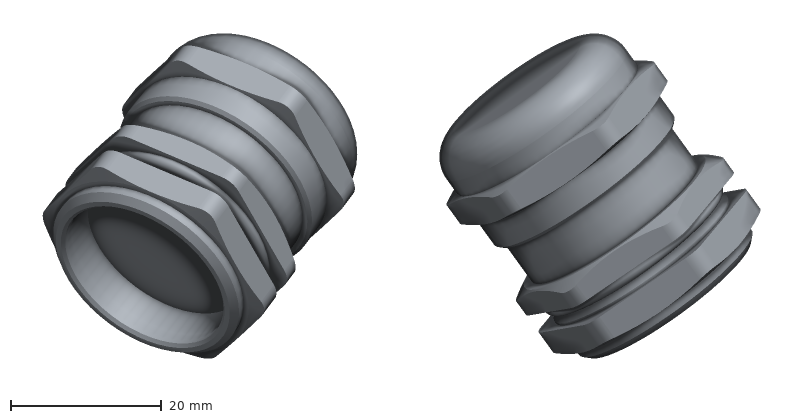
import cadquery as cq
import math


thread_diameter = 28.3
thread_chamfer = 0.9
thread_end = 7.5
bore_diameter = 24.1
bore_depth = 6.5
bore_chamfer = 0.42

ring_diameter = 28.9
ring_rim_radius = 1.0
ring_start = thread_end
ring_end = 9.07

body_diameter = 27.0
cap_diameter = 29.4
cap_start = 19.25
cap_end = 35.15
cap_chamfer = 0.45
dome_radius = 4.4

across_flats = 30.0
corner_radius = 3.0
nut_start = 2.15
nut_end = 6.22
body_hex_end = 12.62
cap_hex_start = 23.63
cap_hex_end = 28.2
nut_bevel_diameter = 29.9
body_bevel_diameter = 29.5
shallow_bevel = 20.0
nut_bevel = 21.5
steep_bevel = 30.0


def cylinder(diameter, start, end):
    """Round bar along Y from start to end."""
    return cq.Workplane("XZ", origin=(0, start, 0)).circle(diameter / 2).extrude(start - end)


def bevel_envelope(start, end, bevel_diameter, front_angle, back_angle):
    """Solid of revolution whose conical ends cut the hexagon corners; angle 0 leaves an end flat."""
    face_radius = bevel_diameter / 2
    outer_radius = across_flats / math.sqrt(3)
    reach = outer_radius - face_radius
    front_drop = reach * math.tan(math.radians(front_angle))
    back_drop = reach * math.tan(math.radians(back_angle))
    return (
        cq.Workplane("XY")
        .moveTo(0, start)
        .lineTo(face_radius, start)
        .lineTo(outer_radius, start + front_drop)
        .lineTo(outer_radius, end - back_drop)
        .lineTo(face_radius, end)
        .lineTo(0, end)
        .close()
        .revolve(360, (0, 0, 0), (0, 1, 0))
    )


def hexagon(start, end, bevel_diameter, front_angle=0.0, back_angle=0.0):
    """Hexagon with rounded corners on the X axis and bevelled end faces."""
    prism = (
        cq.Workplane("XZ", origin=(0, start, 0))
        .transformed(rotate=(0, 0, 30))
        .polygon(6, across_flats, circumscribed=True)
        .extrude(start - end)
        .edges("|Y")
        .fillet(corner_radius)
    )
    return prism.intersect(bevel_envelope(start, end, bevel_diameter, front_angle, back_angle))


def threaded_entry():
    return cylinder(thread_diameter, 0, thread_end).faces("<Y or >Y").chamfer(thread_chamfer)


def sealing_ring():
    """Disc with a rounded rim, flattened where it is pressed against the body hexagon."""
    outer_radius = ring_diameter / 2
    arc_center = outer_radius - ring_rim_radius
    crest = ring_start + ring_rim_radius
    contact_radius = arc_center + math.sqrt(ring_rim_radius**2 - (ring_end - crest) ** 2)
    return (
        cq.Workplane("XY")
        .moveTo(0, ring_start)
        .lineTo(arc_center, ring_start)
        .threePointArc((outer_radius, crest), (contact_radius, ring_end))
        .lineTo(0, ring_end)
        .close()
        .revolve(360, (0, 0, 0), (0, 1, 0))
    )


def domed_cap():
    cap = cylinder(cap_diameter, cap_start, cap_end)
    return cap.faces("<Y").chamfer(cap_chamfer).faces(">Y").edges().fillet(dome_radius)


def entry_bore():
    """Blind bore with a countersunk mouth."""
    mouth_radius = bore_diameter / 2 + bore_chamfer
    countersink = cq.Solid.makeCone(
        mouth_radius, bore_diameter / 2, bore_chamfer, cq.Vector(0, 0, 0), cq.Vector(0, 1, 0)
    )
    return cylinder(bore_diameter, 0, bore_depth).union(cq.Workplane(countersink))


result = (
    threaded_entry()
    .union(hexagon(nut_start, nut_end, nut_bevel_diameter, front_angle=nut_bevel))
    .union(sealing_ring())
    .union(hexagon(ring_end, body_hex_end, body_bevel_diameter, back_angle=steep_bevel))
    .union(cylinder(body_diameter, body_hex_end, cap_start))
    .union(domed_cap())
    .union(hexagon(cap_hex_start, cap_hex_end, body_bevel_diameter, shallow_bevel, shallow_bevel))
    .cut(entry_bore())
)